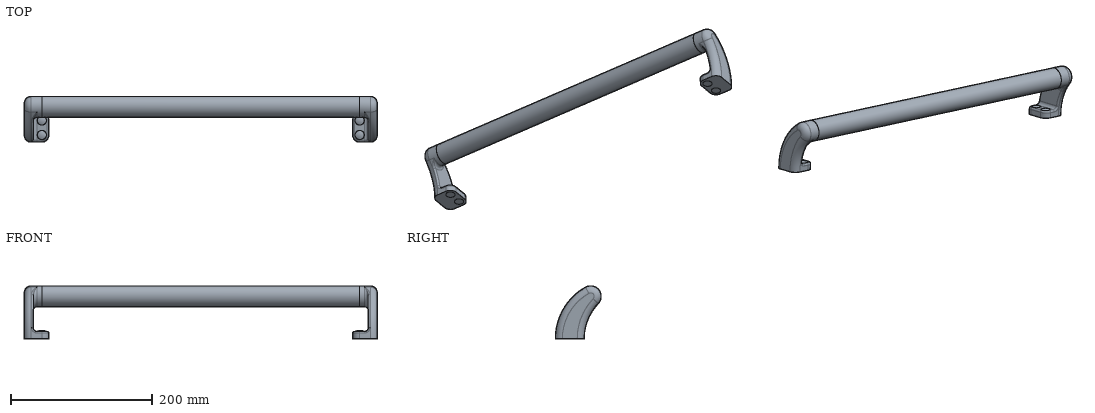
import cadquery as cq
import math

OVERALL_LENGTH = 500.0
OVERALL_DEPTH = 65.0
OVERALL_HEIGHT = 75.0

BAR_RADIUS = 15.0
BAR_AXIS_Z = OVERALL_HEIGHT - BAR_RADIUS

LEG_THICKNESS = 13.0
BOSS_END_X = 25.0
FOOT_LENGTH = 35.0
FOOT_WIDTH = 41.0
FOOT_HEIGHT = 10.5
FOOT_FRONT_Y = BAR_RADIUS - OVERALL_DEPTH
FOOT_BACK_Y = FOOT_FRONT_Y + FOOT_WIDTH

OUTER_ROUND = 10.0
INNER_ROUND = 2.5
BLEND_RADIUS = 5.0

CAP_RADIUS = 6.5
CAP_RISE = 1.5
CAP_X = 25.0
CAP_SPACING = FOOT_WIDTH / 2
CAP_MIDDLE_Y = (FOOT_FRONT_Y + FOOT_BACK_Y) / 2
CAP_POINTS = [(CAP_X, CAP_MIDDLE_Y + side * CAP_SPACING / 2) for side in (-1, 1)]


def leg_arc(start_y, reach):
    """Middle and end (y, z) of a leg edge: an arc, upright at Z = 0, that touches the round top.

    The centre is at Z = 0, on the +Y side.
    Its distance from the bar axis is the arc's radius minus reach, so reach is the radius of the
    round top, positive where the arc curves around the top and negative where it passes outside it.
    """
    radius = (reach**2 - start_y**2 - BAR_AXIS_Z**2) / (2 * (start_y + reach))
    centre_y = start_y + radius
    end_angle = math.pi - math.asin(BAR_AXIS_Z / (radius - reach))

    def point(angle):
        return (centre_y + radius * math.cos(angle), radius * math.sin(angle))

    return point((math.pi + end_angle) / 2), point(end_angle)


def leg_prism(length):
    """Outline of the leg, a round top between two arcs, extruded along X."""
    top_offset = BAR_RADIUS / math.sqrt(2)
    top_middle = (top_offset, BAR_AXIS_Z + top_offset)
    front_middle, front_end = leg_arc(FOOT_FRONT_Y, BAR_RADIUS)
    back_middle, back_end = leg_arc(FOOT_BACK_Y, -BAR_RADIUS)
    return (
        cq.Workplane("YZ")
        .moveTo(FOOT_FRONT_Y, 0)
        .threePointArc(front_middle, front_end)
        .threePointArc(top_middle, back_end)
        .threePointArc(back_middle, (FOOT_BACK_Y, 0))
        .close()
        .extrude(length)
    )


def make_leg_and_foot():
    """L-shaped section with a blended corner, cut to the outline of the leg."""
    section = (
        cq.Workplane("XZ", origin=(0, BAR_RADIUS, 0))
        .lineTo(FOOT_LENGTH, 0)
        .lineTo(FOOT_LENGTH, FOOT_HEIGHT)
        .lineTo(LEG_THICKNESS + BLEND_RADIUS, FOOT_HEIGHT)
        .radiusArc((LEG_THICKNESS, FOOT_HEIGHT + BLEND_RADIUS), BLEND_RADIUS)
        .lineTo(LEG_THICKNESS, OVERALL_HEIGHT)
        .lineTo(0, OVERALL_HEIGHT)
        .close()
        .extrude(OVERALL_DEPTH)
    )
    body = leg_prism(FOOT_LENGTH).intersect(section)
    return body.faces(">X").edges("not |Y").fillet(OUTER_ROUND)


def make_boss():
    """Round boss with a concave flare at its root, kept within the outline of the leg."""
    flare_end_x = LEG_THICKNESS + BLEND_RADIUS
    flare_radius = BAR_RADIUS + BLEND_RADIUS
    boss = (
        cq.Workplane("XY", origin=(0, 0, BAR_AXIS_Z))
        .lineTo(0, flare_radius)
        .lineTo(LEG_THICKNESS, flare_radius)
        .radiusArc((flare_end_x, BAR_RADIUS), -BLEND_RADIUS)
        .lineTo(BOSS_END_X, BAR_RADIUS)
        .lineTo(BOSS_END_X, 0)
        .close()
        .revolve(360, (0, 0, 0), (1, 0, 0))
    )
    return boss.intersect(leg_prism(BOSS_END_X))


def make_bracket():
    """Left bracket, with its edges rounded and two screw holes through the foot."""
    foot_tip = cq.selectors.NearestToPointSelector((FOOT_LENGTH, CAP_MIDDLE_Y, FOOT_HEIGHT))
    bracket = make_leg_and_foot().union(make_boss())
    bracket = bracket.edges(foot_tip).fillet(INNER_ROUND)
    bracket = bracket.faces("<X").edges("not <Z").fillet(OUTER_ROUND)
    holes = cq.Workplane("XY").pushPoints(CAP_POINTS).circle(CAP_RADIUS).extrude(FOOT_HEIGHT)
    return bracket.cut(holes).solids()


def make_cap(x, y):
    """Plug that fills a screw hole and ends in a low dome."""
    dome_radius = (CAP_RADIUS**2 + CAP_RISE**2) / (2 * CAP_RISE)
    dome_centre_z = FOOT_HEIGHT + CAP_RISE - dome_radius
    plug = cq.Workplane("XY").circle(CAP_RADIUS).extrude(FOOT_HEIGHT + CAP_RISE)
    ball = cq.Workplane("XY", origin=(0, 0, dome_centre_z)).sphere(dome_radius)
    return plug.intersect(ball).translate((x, y, 0)).solids()


def make_bar():
    """Round bar between the ends of the two bosses."""
    return (
        cq.Workplane("YZ", origin=(BOSS_END_X, 0, BAR_AXIS_Z))
        .circle(BAR_RADIUS)
        .extrude(OVERALL_LENGTH - 2 * BOSS_END_X)
    )


def mirrored(body):
    """Copy of a body of the left end, placed at the right end."""
    return body.mirror("YZ", (OVERALL_LENGTH / 2, 0, 0))


bar = make_bar()
left_bracket = make_bracket()
left_caps = [make_cap(x, y) for x, y in CAP_POINTS]

bodies = [bar.val()]
for left_body in [left_bracket, *left_caps]:
    bodies.append(left_body.val())
    bodies.append(mirrored(left_body).val())

result = cq.Compound.makeCompound(bodies)